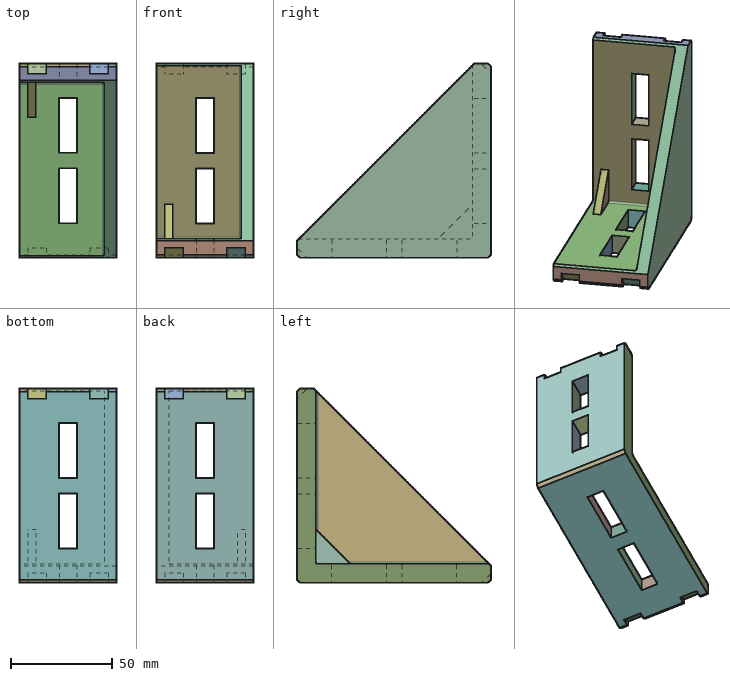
import cadquery as cq

width = 48.0
leg_length = 96.0

leg_thickness = 9.4
outer_bevel = 1.6
tip_bevel = 1.1
inner_fillet = 1.0

gusset_thickness = 6.0
gusset_left = width - gusset_thickness

rib_left = 4.1
rib_thickness = 3.8
rib_reach = 17.1

slot_width = 8.6
slot_length = 27.0
slot_gap = 7.8
first_slot_start = 17.1

notch_width = 9.0
notch_depth = 5.0
notch_inset = rib_left



def prism(points, x_start, x_length):
    """Extrude a closed (u, v) outline along X."""
    outline = [(leg_length - u, v) for u, v in points]
    return cq.Workplane("YZ", origin=(x_start, 0, 0)).polyline(outline).close().extrude(x_length)


def on_both_legs(points, x_start, x_length):
    """The same prism on the flat leg and, with u and v swapped, on the upright leg."""
    swapped = [(v, u) for u, v in points]
    return prism(points, x_start, x_length).union(prism(swapped, x_start, x_length))


def bracket_body():
    """Triangular block, hollowed to leave the two legs and the gusset."""
    tip_height = leg_thickness - tip_bevel
    block = prism(
        [
            (outer_bevel, 0),
            (leg_length - outer_bevel, 0),
            (leg_length, outer_bevel),
            (leg_length, tip_height),
            (tip_height, leg_length),
            (outer_bevel, leg_length),
            (0, leg_length - outer_bevel),
            (0, outer_bevel),
        ],
        0,
        width,
    )
    far = 2 * leg_length
    hollow = prism(
        [(leg_thickness, leg_thickness), (far, leg_thickness), (far, far), (leg_thickness, far)],
        0,
        gusset_left,
    )
    hollow = hollow.faces(">Y or <Z").edges("(not <X) and (not <Y) and (not >Z)").fillet(inner_fillet)
    return block.cut(hollow)


def corner_rib():
    """Small triangular rib between the legs."""
    reach = leg_thickness + rib_reach
    outline = [(leg_thickness, leg_thickness), (reach, leg_thickness), (leg_thickness, reach)]
    return prism(outline, rib_left, rib_thickness)


def cut_slots(body):
    """Two slots in line through each leg."""
    for index in range(2):
        start = first_slot_start + index * (slot_length + slot_gap)
        end = start + slot_length
        outline = [(start, 0), (end, 0), (end, leg_thickness), (start, leg_thickness)]
        body = body.cut(on_both_legs(outline, (width - slot_width) / 2, slot_width))
    return body


def cut_tip_notches(body):
    """A pair of 45 degree notches at the outer edge of each leg tip."""
    outline = [(leg_length, 0), (leg_length, notch_depth), (leg_length - notch_depth, 0)]
    for x_start in (notch_inset, width - notch_inset - notch_width):
        body = body.cut(on_both_legs(outline, x_start, notch_width))
    return body


bracket = bracket_body().union(corner_rib())
bracket = cut_slots(bracket)
result = cut_tip_notches(bracket)